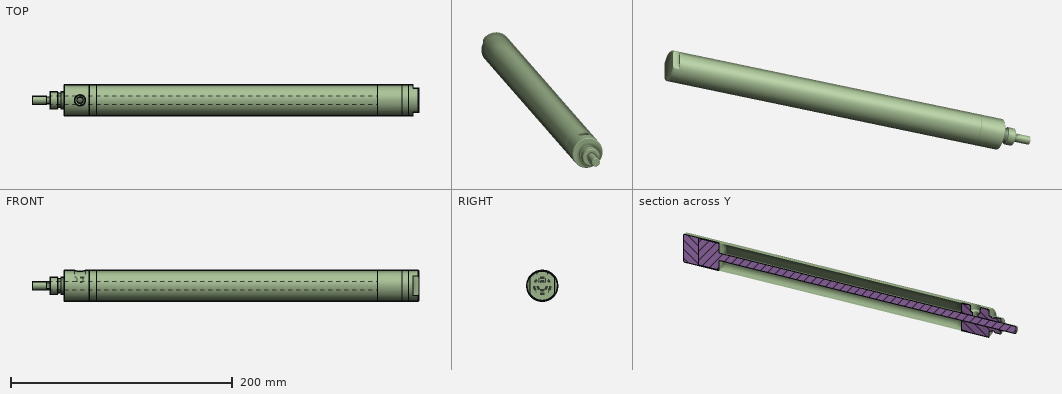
import cadquery as cq


total_length = 349.25
body_radius = 28.19 / 2
edge_break = 0.4

thread_length = 12.7
thread_radius = 7.7 / 2
rod_radius = 7.94 / 2
wrench_flat_width = 6.35
piston_length = 22.2

nose_start = 15.875
nose_radius = 15.88 / 2
rod_bore_chamfer = 0.7
nose_thread_end = 22.6
relief_start = 23.2
relief_radius = 13.4 / 2
relief_end = 25.8
barrel_start = 28.575
barrel_end = 51.8

port_x = 43.1
port_radius = 10.2 / 2
port_floor_radius = 9.4 / 2
port_depth = 6.0
drill_radius = 5.6 / 2
drill_cone_height = 1.1

tube_bore_radius = 27.2 / 2

cap_start = 339.6
cap_flat_length = 5.6
cap_flat_width = 21.8
cap_chamfer = 1.0

spigot_length = 6.0
head_end = barrel_end + spigot_length
cap_spigot_start = cap_start - spigot_length
piston_start = cap_spigot_start - piston_length


def turned(profile, plane="XZ"):
    """Solid of revolution about the X axis from (x, radius) points."""
    return cq.Workplane(plane).polyline(profile).close().revolve(360, (0, 0), (1, 0))


def cut_side_flats(body, start, end, width):
    """Cut parallel flats facing -Y and +Y, width apart, between two x positions."""
    for side in (-1, 1):
        block = cq.Workplane("XY").box(end - start, body_radius, 2 * body_radius)
        body = body.cut(block.translate(((start + end) / 2, side * (width + body_radius) / 2, 0)))
    return body


def make_rod():
    rod = turned([
        (0, 0),
        (0, thread_radius - edge_break),
        (edge_break, thread_radius),
        (thread_length, thread_radius),
        (thread_length, rod_radius),
        (piston_start, rod_radius),
        (piston_start, tube_bore_radius),
        (cap_spigot_start, tube_bore_radius),
        (cap_spigot_start, 0),
    ])
    return cut_side_flats(rod, thread_length, nose_start, wrench_flat_width)


def make_port_cutter():
    """Tapered port with a conical floor and a drilled hole on down to the rod bore."""
    floor_z = body_radius - port_depth
    profile = [
        (0, 0),
        (drill_radius, 0),
        (drill_radius, floor_z - drill_cone_height),
        (port_floor_radius, floor_z),
        (port_radius, body_radius),
        (0, body_radius),
    ]
    cutter = cq.Workplane("XZ").polyline(profile).close().revolve(360, (0, 0), (0, 1))
    return cutter.translate((port_x, 0, 0))


def make_head():
    head = turned([
        (nose_start + rod_bore_chamfer, rod_radius),
        (nose_start, rod_radius + rod_bore_chamfer),
        (nose_start, nose_radius - edge_break),
        (nose_start + edge_break, nose_radius),
        (nose_thread_end, nose_radius),
        (relief_start, relief_radius),
        (relief_end, relief_radius),
        (relief_end, nose_radius),
        (barrel_start, nose_radius),
        (barrel_start, body_radius - edge_break),
        (barrel_start + edge_break, body_radius),
        (barrel_end - edge_break, body_radius),
        (barrel_end, body_radius - edge_break),
        (barrel_end, tube_bore_radius),
        (head_end, tube_bore_radius),
        (head_end, rod_radius),
    ], plane="XY")
    return head.cut(make_port_cutter())


def make_tube():
    return turned([
        (barrel_end, tube_bore_radius),
        (barrel_end, body_radius),
        (cap_start, body_radius),
        (cap_start, tube_bore_radius),
    ])


def make_cap():
    cap = turned([
        (cap_spigot_start, 0),
        (cap_spigot_start, tube_bore_radius),
        (cap_start, tube_bore_radius),
        (cap_start, body_radius),
        (total_length - cap_chamfer, body_radius),
        (total_length, body_radius - cap_chamfer),
        (total_length, 0),
    ])
    return cut_side_flats(cap, total_length - cap_flat_length, total_length, cap_flat_width)


rod = make_rod()
head = make_head()
tube = make_tube()
cap = make_cap()

result = cq.Compound.makeCompound([rod.val(), head.val(), tube.val(), cap.val()])